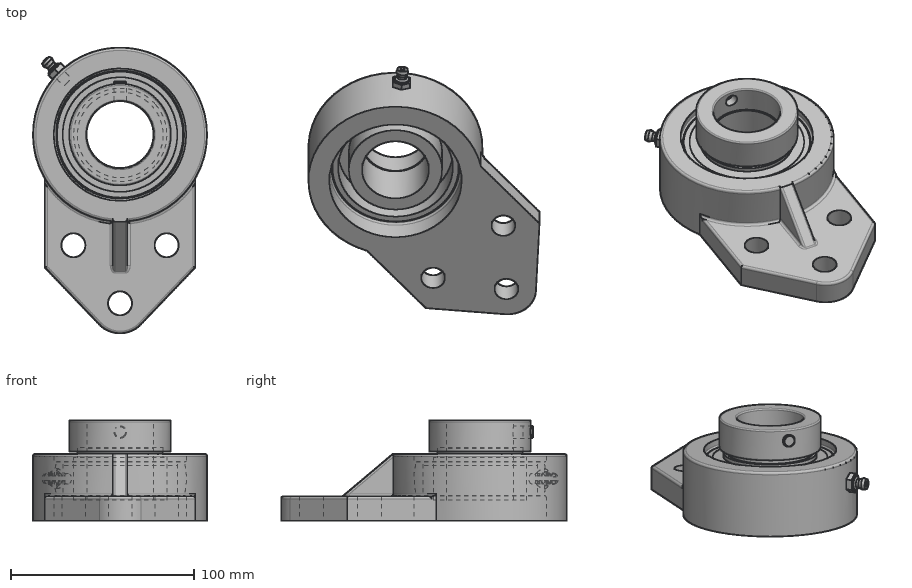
import cadquery as cq
import math

BOSS_RADIUS = 47.5
BOSS_HEIGHT = 36.5
OVERALL_LENGTH = 156
FLANGE_HEIGHT = 13.4
FLANGE_HALF_WIDTH = 41.2
FLANGE_CORNER_Y = -72.4
TIP_RADIUS = 15.6
TIP_CENTRE_Y = BOSS_RADIUS - OVERALL_LENGTH + TIP_RADIUS
CAST_ROUND = 1.4

BOLT_HOLE_DIAMETER = 13.0
BOLT_HOLES = [(-25.5, -60.4), (25.5, -60.4), (0, -92)]

RIB_WIDTH = 8.1
RIB_TOE_Y = -74.9
RIB_INNER_Y = -43.7
RIB_ROUND = 1.2

COUNTERBORE_FLOOR = 9.2
COUNTERBORE_ROUND = 1.1

BEARING_SPHERE_DIAMETER = 72.2
BEARING_CENTRE_Z = 23.1
OUTER_RING_WIDTH = 19.0
OUTER_RING_CHAMFER = 0.5
OUTER_RING_BORE = 62.5
SEAL_THICKNESS = 2.3
SHAFT_DIAMETER = 36.5
INNER_RING_DIAMETER = 50.9
INNER_RING_WIDTH = 23.4
SPIGOT_DIAMETER = 46.8

COLLAR_DIAMETER = 55.5
COLLAR_BOTTOM_Z = 37.6
COLLAR_TOP_Z = 54.9
SPIGOT_TOP_Z = 40.1
SPIGOT_CHAMFER = 0.5
COLLAR_ROUND = 0.8
SCREW_DIAMETER = 6.7
SCREW_Z = 48.5
SCREW_INNER_END = 23.4
SCREW_OUTER_END = 29.0
SCREW_CHAMFER = 0.5

FITTING_DIRECTION = cq.Vector(-1, 1, 0)
SHANK_DIAMETER = 6.0
SHANK_END = 40.5
HEX_ACROSS_CORNERS = 10.9
HEX_END = 50.5
FITTING_TIP = 57.9
HEAD_PROFILE = [
    (3.9, HEX_END),
    (3.9, 51.3),
    (2.5, 52.1),
    (2.5, 53.5),
    (3.3, 55.5),
    (2.8, 57.4),
    (1.2, 57.4),
    (1.2, FITTING_TIP),
    (0, FITTING_TIP),
]


def cylinder(diameter, bottom, top):
    return cq.Workplane("XY").workplane(offset=bottom).circle(diameter / 2).extrude(top - bottom)


def fitting_plane(distance):
    """Plane square to the fitting's axis, at a distance from the bearing axis, with local Y up."""
    origin = FITTING_DIRECTION.normalized() * distance + cq.Vector(0, 0, BEARING_CENTRE_Z)
    return cq.Plane(origin=origin, xDir=(-1, -1, 0), normal=FITTING_DIRECTION)


def set_screw_blank(inner, outer):
    """Cylinder along +Y at the height of the set screw."""
    plane = cq.Plane(origin=(0, inner, SCREW_Z), xDir=(1, 0, 0), normal=(0, 1, 0))
    return cq.Workplane(plane).circle(SCREW_DIAMETER / 2).extrude(outer - inner)


def make_flange():
    rise = FLANGE_CORNER_Y - TIP_CENTRE_Y
    corner_distance = math.hypot(FLANGE_HALF_WIDTH, rise)
    tangent_angle = math.atan2(rise, FLANGE_HALF_WIDTH) - math.acos(TIP_RADIUS / corner_distance)
    tangent_x = TIP_RADIUS * math.cos(tangent_angle)
    tangent_y = TIP_CENTRE_Y + TIP_RADIUS * math.sin(tangent_angle)
    return (
        cq.Workplane("XY")
        .moveTo(-FLANGE_HALF_WIDTH, 0)
        .lineTo(-FLANGE_HALF_WIDTH, FLANGE_CORNER_Y)
        .lineTo(-tangent_x, tangent_y)
        .threePointArc((0, TIP_CENTRE_Y - TIP_RADIUS), (tangent_x, tangent_y))
        .lineTo(FLANGE_HALF_WIDTH, FLANGE_CORNER_Y)
        .lineTo(FLANGE_HALF_WIDTH, 0)
        .close()
        .extrude(FLANGE_HEIGHT)
        .faces(">Z")
        .edges("not >Y")
        .fillet(CAST_ROUND)
    )


def make_rib():
    """Triangular rib level with the boss's top, with its slanted edges rounded."""
    rib = (
        cq.Workplane("YZ")
        .moveTo(RIB_INNER_Y, 0)
        .lineTo(RIB_INNER_Y, BOSS_HEIGHT)
        .lineTo(-BOSS_RADIUS, BOSS_HEIGHT)
        .lineTo(RIB_TOE_Y, FLANGE_HEIGHT)
        .lineTo(RIB_TOE_Y, 0)
        .close()
        .extrude(RIB_WIDTH / 2, both=True)
    )
    slope = cq.Vector(0, RIB_TOE_Y + BOSS_RADIUS, FLANGE_HEIGHT - BOSS_HEIGHT)
    return rib.edges(cq.selectors.ParallelDirSelector(slope)).fillet(RIB_ROUND)


def make_boss_foot():
    """Ring that blends the boss into the flange, cut off square at the flange's sides."""
    foot_radius = BOSS_RADIUS + CAST_ROUND
    foot_top = FLANGE_HEIGHT + CAST_ROUND
    bend = CAST_ROUND * (1 - math.sqrt(0.5))
    ring = (
        cq.Workplane("XZ")
        .moveTo(BOSS_RADIUS - CAST_ROUND, FLANGE_HEIGHT - CAST_ROUND)
        .lineTo(foot_radius, FLANGE_HEIGHT - CAST_ROUND)
        .lineTo(foot_radius, FLANGE_HEIGHT)
        .threePointArc((BOSS_RADIUS + bend, FLANGE_HEIGHT + bend), (BOSS_RADIUS, foot_top))
        .lineTo(BOSS_RADIUS - CAST_ROUND, foot_top)
        .close()
        .revolve(360, (0, 0), (0, 1))
    )
    above_flange = cq.Workplane("XY").rect(2 * FLANGE_HALF_WIDTH, BOSS_RADIUS).extrude(BOSS_HEIGHT)
    return ring.intersect(above_flange.translate((0, -BOSS_RADIUS, 0)))


def make_bearing_sphere():
    return cq.Workplane("XY").sphere(BEARING_SPHERE_DIAMETER / 2).translate((0, 0, BEARING_CENTRE_Z))


def make_bearing_seat():
    """Cavity of the housing: the bearing sphere and the counterbores above and below it."""
    upper_floor = BEARING_CENTRE_Z + COUNTERBORE_FLOOR
    lower_floor = BEARING_CENTRE_Z - COUNTERBORE_FLOOR
    upper = cylinder(BEARING_SPHERE_DIAMETER, upper_floor, BOSS_HEIGHT)
    upper = upper.faces("<Z").edges().fillet(COUNTERBORE_ROUND)
    lower = cylinder(BEARING_SPHERE_DIAMETER, 0, lower_floor)
    lower = lower.faces(">Z").edges().fillet(COUNTERBORE_ROUND)
    return make_bearing_sphere().union(upper).union(lower)


def make_housing():
    boss = cylinder(2 * BOSS_RADIUS, 0, BOSS_HEIGHT).faces(">Z").edges().fillet(CAST_ROUND)
    body = boss.union(make_flange()).union(make_rib())
    rib_foot = cq.selectors.BoxSelector(
        (-RIB_WIDTH, RIB_TOE_Y - CAST_ROUND, FLANGE_HEIGHT - CAST_ROUND / 2),
        (RIB_WIDTH, 0, FLANGE_HEIGHT + CAST_ROUND / 2),
        boundingbox=True,
    )
    body = body.edges(rib_foot).fillet(CAST_ROUND)
    body = body.union(make_boss_foot())
    body = body.cut(make_bearing_seat())
    bolt_holes = cq.Workplane("XY").pushPoints(BOLT_HOLES).circle(BOLT_HOLE_DIAMETER / 2)
    body = body.cut(bolt_holes.extrude(FLANGE_HEIGHT))
    body = body.cut(make_shank())
    return body


def make_outer_ring():
    """Barrel cut from a sphere, with a straight bore."""
    bottom = BEARING_CENTRE_Z - OUTER_RING_WIDTH / 2
    slab = cylinder(BEARING_SPHERE_DIAMETER, bottom, bottom + OUTER_RING_WIDTH)
    ring = make_bearing_sphere().intersect(slab)
    ring = ring.faces("|Z").edges().chamfer(OUTER_RING_CHAMFER)
    return ring.cut(cylinder(OUTER_RING_BORE, bottom, bottom + OUTER_RING_WIDTH))


def make_seal():
    top = BEARING_CENTRE_Z + OUTER_RING_WIDTH / 2
    disc = cylinder(OUTER_RING_BORE, top - SEAL_THICKNESS, top)
    return disc.cut(cylinder(INNER_RING_DIAMETER, top - SEAL_THICKNESS, top))


def make_inner_ring():
    """Sleeve centred in the outer ring, with a spigot that enters the collar."""
    bottom = BEARING_CENTRE_Z - INNER_RING_WIDTH / 2
    ring = cylinder(INNER_RING_DIAMETER, bottom, bottom + INNER_RING_WIDTH)
    ring = ring.union(cylinder(SPIGOT_DIAMETER, bottom, SPIGOT_TOP_Z))
    ring = ring.cut(cylinder(SHAFT_DIAMETER, bottom, SPIGOT_TOP_Z))
    bore_rim = cq.selectors.RadiusNthSelector(0)
    return ring.faces(">Z").edges(bore_rim).chamfer(SPIGOT_CHAMFER)


def make_collar():
    collar = cylinder(COLLAR_DIAMETER, COLLAR_BOTTOM_Z, COLLAR_TOP_Z)
    collar = collar.cut(cylinder(SHAFT_DIAMETER, COLLAR_BOTTOM_Z, COLLAR_TOP_Z))
    collar = collar.faces("|Z").edges().fillet(COLLAR_ROUND)
    collar = collar.cut(cylinder(SPIGOT_DIAMETER, COLLAR_BOTTOM_Z, SPIGOT_TOP_Z))
    return collar.cut(set_screw_blank(0, COLLAR_DIAMETER))


def make_set_screw():
    return set_screw_blank(SCREW_INNER_END, SCREW_OUTER_END).faces(">Y").edges().chamfer(SCREW_CHAMFER)


def make_shank():
    return cq.Workplane(fitting_plane(SHANK_END)).circle(SHANK_DIAMETER / 2).extrude(HEX_END - SHANK_END)


def make_grease_fitting():
    """Shank, hexagon seated on the boss, and a turned head with a ball-shaped end."""
    hexagon = (
        cq.Workplane(fitting_plane(SHANK_END))
        .transformed(rotate=(0, 0, 90))
        .polygon(6, HEX_ACROSS_CORNERS)
        .extrude(HEX_END - SHANK_END)
        .cut(cylinder(2 * BOSS_RADIUS, 0, BOSS_HEIGHT))
    )
    head = (
        cq.Workplane(fitting_plane(0))
        .transformed(rotate=(90, 0, 0))
        .moveTo(0, HEX_END)
        .polyline(HEAD_PROFILE, includeCurrent=True)
        .close()
        .revolve(360, (0, 0), (0, 1))
    )
    return hexagon.union(make_shank()).union(head)


housing = make_housing()
outer_ring = make_outer_ring()
seal = make_seal()
inner_ring = make_inner_ring()
collar = make_collar()
set_screw = make_set_screw()
grease_fitting = make_grease_fitting()
bodies = [housing, outer_ring, seal, inner_ring, collar, set_screw, grease_fitting]

result = cq.Compound.makeCompound([body.val() for body in bodies])